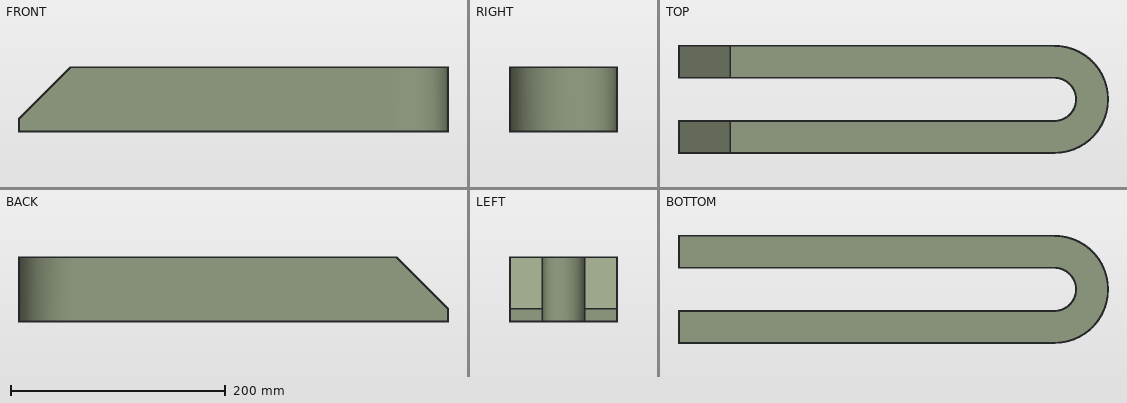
import cadquery as cq

length = 400.0
width = 100.0
height = 60.0
slot_width = 40.0
tip_height = 12.0
bevel_length = 48.0

outer_radius = width / 2
slot_radius = slot_width / 2
tip_x = -length / 2
bend_x = length / 2 - outer_radius


def round_ended_bar(radius):
    """Full-height bar from the tips to the bend centre, closed by a half circle."""
    return (
        cq.Workplane("XY")
        .moveTo(tip_x, -radius)
        .lineTo(bend_x, -radius)
        .threePointArc((bend_x + radius, 0), (bend_x, radius))
        .lineTo(tip_x, radius)
        .close()
        .extrude(height)
    )


def tip_bevel():
    """Wedge removed above the sloping ends of both legs."""
    return (
        cq.Workplane("XZ")
        .moveTo(tip_x, tip_height)
        .lineTo(tip_x + bevel_length, height)
        .lineTo(tip_x, height)
        .close()
        .extrude(outer_radius, both=True)
    )


result = round_ended_bar(outer_radius).cut(round_ended_bar(slot_radius)).cut(tip_bevel())